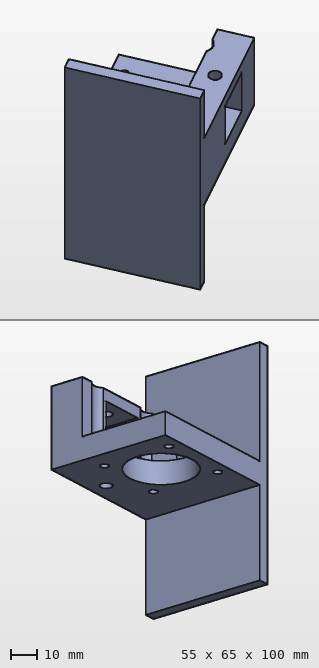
import cadquery as cq

width = 55
plate_thickness = 5
plate_height = 100

shelf_depth = 60
shelf_bottom = 40
shelf_thickness = 10
shelf_top = shelf_bottom + shelf_thickness

block_width = 15
block_height = 25
block_left = width - block_width
window_length = 20
window_height = 20

motor_x = 21
middle_y = 40
bore_diameter = 30
screw_spacing = 31
screw_diameter = 3.6
relief_diameter = 10

block_hole_diameter = 5.2
block_hole_x = block_left + block_width / 2


def box(x, y, z, length, depth, height):
    """Box placed by its lowest corner."""
    return cq.Workplane("XY").box(length, depth, height, centered=False).translate((x, y, z))


def cylinder(x, y, bottom, height, diameter):
    """Vertical cylinder standing at the given height."""
    return cq.Workplane("XY", origin=(x, y, bottom)).circle(diameter / 2).extrude(height)


result = box(0, 0, 0, width, plate_thickness, plate_height)
result = result.union(box(0, plate_thickness, shelf_bottom, width, shelf_depth, shelf_thickness))
result = result.union(
    box(block_left, plate_thickness, shelf_top, block_width, shelf_depth, block_height)
)

result = result.cut(
    box(block_left, middle_y - window_length / 2, shelf_top, block_width, window_length, window_height)
)

result = result.cut(cylinder(motor_x, middle_y, shelf_bottom, shelf_thickness, bore_diameter))

for side_x in (-1, 1):
    for side_y in (-1, 1):
        screw_x = motor_x + side_x * screw_spacing / 2
        screw_y = middle_y + side_y * screw_spacing / 2
        result = result.cut(cylinder(screw_x, screw_y, shelf_bottom, shelf_thickness, screw_diameter))
        result = result.cut(cylinder(screw_x, screw_y, shelf_top, block_height, relief_diameter))

result = result.cut(
    cylinder(block_hole_x, middle_y, shelf_bottom, shelf_thickness + block_height, block_hole_diameter)
)